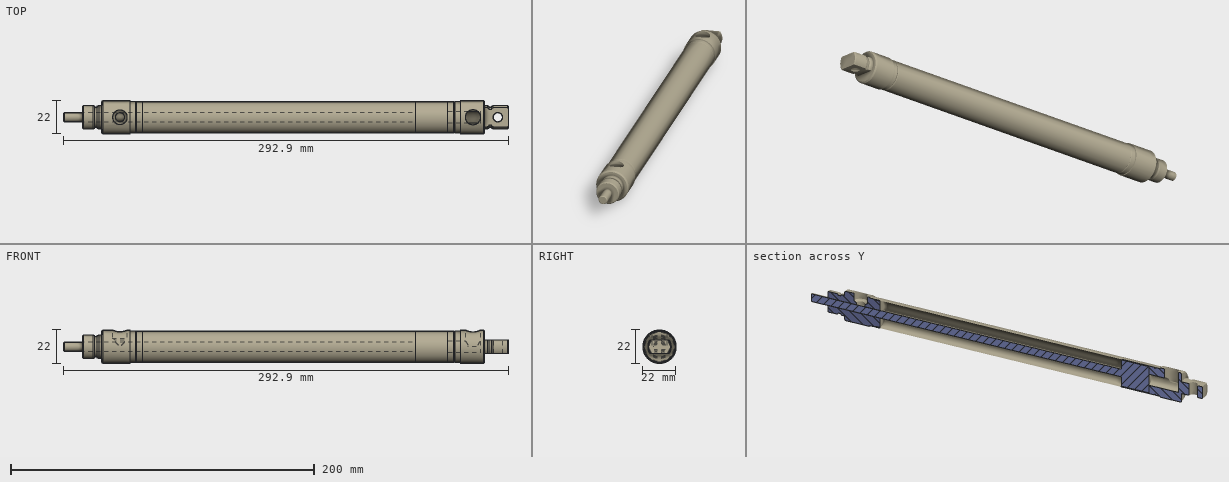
import cadquery as cq

overall_length = 292.91
collar_start = 12.5
head_start = 25.0
head_end = 43.8
head_joint = 47.6
cap_joint = 257.0
cap_start = 261.2
cap_end = 277.2

tube_diameter = 20.8
bore_diameter = 20.0

tube_chamfer = 0.35
head_neck_chamfer = 0.35
cap_neck_chamfer = 0.8

head_diameter = 22.0
edge_chamfer = 0.9
spigot_length = 4.2

rod_diameter = 6.0
rod_chamfer = 0.5
piston_end = cap_joint - spigot_length
piston_length = 21.0

collar_diameter = 15.5
collar_chamfer = 0.6
collar_groove_centre = 21.3

tongue_diameter = 15.5
tongue_thickness = 9.0
tongue_chamfer = 0.6
tongue_hole_diameter = 6.0
tongue_hole_x = 285.9
tongue_groove_centre = 280.9

groove_floor_width = 1.6
groove_depth = 1.0
shoulder_width = 1.1
shoulder_depth = 0.5

head_port_x = 37.1
head_port_diameter = 9.6
head_port_depth = 5.5
port_pilot_diameter = 6.0
port_cone_height = 1.1

cap_port_x = 269.5
cap_port_diameter = 10.0
cap_bore_diameter = 7.8
cap_bore_end = cap_port_x + cap_port_diameter / 2


def cylinder(start, end, diameter):
    """Solid cylinder on the X axis between two axial stations."""
    return cq.Workplane("YZ", origin=(start, 0, 0)).circle(diameter / 2).extrude(end - start)


def relief_groove(centre, diameter):
    """Ring that cuts the relief groove into a bar of the given diameter."""
    surface = diameter / 2
    floor = surface - groove_depth
    shoulder = surface - shoulder_depth
    wall = groove_floor_width / 2
    rim = wall + shoulder_width
    profile = cq.Workplane("XY").polyline([
        (centre - rim, surface),
        (centre - wall, shoulder),
        (centre - wall, floor),
        (centre + wall, floor),
        (centre + wall, shoulder),
        (centre + rim, surface),
    ])
    return profile.close().revolve(360, (0, 0, 0), (1, 0, 0))


def vertical_hole(x, diameter, bottom):
    """Drilling from above the head or cap down to the height 'bottom'."""
    return cq.Workplane("XY", origin=(x, 0, bottom)).circle(diameter / 2).extrude(head_diameter)


def make_rod():
    rod = cylinder(0, piston_end, rod_diameter).faces("<X").chamfer(rod_chamfer)
    piston = cylinder(piston_end - piston_length, piston_end, bore_diameter)
    return rod.union(piston)


def make_collar():
    collar = cylinder(collar_start, head_start, collar_diameter).faces("<X").chamfer(collar_chamfer)
    groove = relief_groove(collar_groove_centre, collar_diameter)
    return collar.cut(groove)


def make_head_port():
    floor = head_diameter / 2 - head_port_depth
    cone = (
        cq.Workplane("XY", origin=(head_port_x, 0, floor))
        .circle(head_port_diameter / 2)
        .workplane(offset=-port_cone_height)
        .circle(port_pilot_diameter / 2)
        .loft()
    )
    port = vertical_hole(head_port_x, head_port_diameter, floor).union(cone)
    return port.union(vertical_hole(head_port_x, port_pilot_diameter, 0))


def make_head():
    body = cylinder(head_start, head_end, head_diameter).faces("<X").chamfer(edge_chamfer)
    neck = cylinder(head_end, head_joint, tube_diameter).faces(">X").chamfer(head_neck_chamfer)
    spigot = cylinder(head_joint, head_joint + spigot_length, bore_diameter)
    head = body.union(make_collar()).union(neck).union(spigot)
    rod_hole = cylinder(collar_start, head_joint + spigot_length, rod_diameter)
    return head.cut(make_head_port()).cut(rod_hole)


def make_tube():
    tube = cylinder(head_joint, cap_joint, tube_diameter)
    tube = tube.faces("<X or >X").chamfer(tube_chamfer)
    return tube.cut(cylinder(head_joint, cap_joint, bore_diameter))


def make_tongue():
    tongue = cylinder(cap_end, overall_length, tongue_diameter).faces(">X").chamfer(tongue_chamfer)
    flats = cq.Workplane("XY").box(2 * overall_length, tongue_diameter, tongue_thickness)
    groove = relief_groove(tongue_groove_centre, tongue_diameter)
    hinge_hole = vertical_hole(tongue_hole_x, tongue_hole_diameter, -tongue_thickness)
    return tongue.intersect(flats).cut(groove).cut(hinge_hole)


def make_cap():
    body = cylinder(cap_start, cap_end, head_diameter).faces(">X").chamfer(edge_chamfer)
    neck = cylinder(cap_joint, cap_start, tube_diameter).faces("<X").chamfer(cap_neck_chamfer)
    spigot = cylinder(cap_joint - spigot_length, cap_joint, bore_diameter)
    cap = body.union(neck).union(spigot).union(make_tongue())
    bore = cylinder(cap_joint - spigot_length, cap_bore_end, cap_bore_diameter)
    return cap.cut(bore).cut(vertical_hole(cap_port_x, cap_port_diameter, 0))


rod = make_rod()
head = make_head()
tube = make_tube()
cap = make_cap()

result = cq.Compound.makeCompound([rod.val(), head.val(), tube.val(), cap.val()])